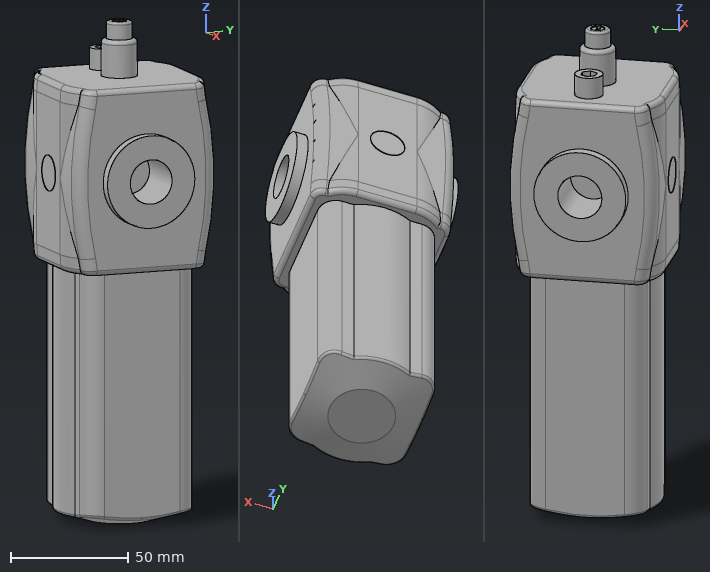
import cadquery as cq
import math


TOTAL_HEIGHT = 215.5
HEAD_BOTTOM = 111.4
HEAD_TOP = 191.7
HEAD_HEIGHT = HEAD_TOP - HEAD_BOTTOM
HEAD_MIDDLE = (HEAD_TOP + HEAD_BOTTOM) / 2

HEAD_LENGTH = 63.1
HEAD_WIDTH = 65.0
FRONT_FLAT_HALF = 13.4
CORNER_ROUND = 5.4
CORE_HALF_LENGTH = HEAD_LENGTH / 2 - CORNER_ROUND
CORE_CORNER_DROP = 4.5
END_BAND = 7.1
END_BAND_TAPER = 4.0
CORNER_BAND_DROP = 3.7
CORNER_END_DROP = 4.7
HEAD_EDGE_ROUND = 2.4

PORT_DIAMETER = 40.0
PORT_SPAN = 73.0
PORT_BORE = 19.2
PORT_BORE_DEPTH = 25.8

MARK_DIAMETER = 15.5
MARK_DEPTH = 0.2

STUD_X = -18.0
STUD_DIAMETER = 12.0
STUD_TOP = 201.0
STUD_HEX_FLATS = 6.2
STUD_HEX_DEPTH = 5.4

CONNECTOR_DIAMETER = 15.5
CONNECTOR_SHOULDER = 207.9
SHOULDER_ROUND = 2.0
TIP_DIAMETER = 11.2
TIP_ROUND = 1.0
SCREW_DIAMETER = 6.0
SCREW_RECESS = 0.5
SLOT_WIDTH = 1.3
SLOT_DEPTH = 1.0

BOWL_LENGTH = 52.5
BOWL_WIDTH = 56.7
BOWL_SIDE_FLAT_HALF = 17.2
BOWL_CORNER_RADIUS = 8.2
BOWL_BULGE_HALF = 12.7
BOWL_FOOT_DIAMETER = 28.9
BOWL_FOOT_SLOPE = 0.3
BOWL_RIM_ROUND = 1.3


def tangent_arc_middle(flat_end, corner):
    """Point at half the run of the arc that leaves the flat tangentially and ends at the corner."""
    run = corner[0] - flat_end[0]
    drop = flat_end[1] - corner[1]
    radius = (run**2 + drop**2) / (2 * drop)
    half_run = run / 2
    return (flat_end[0] + half_run, flat_end[1] - radius + math.sqrt(radius**2 - half_run**2))


def core_outline(z):
    """Closed outline with flat sides, and bowed quarters beside the front and back flats."""
    y_flat = HEAD_WIDTH / 2
    flat_end = (FRONT_FLAT_HALF, y_flat)
    corner = (CORE_HALF_LENGTH, y_flat - CORE_CORNER_DROP)
    mid = tangent_arc_middle(flat_end, corner)
    return (
        cq.Workplane("XY", origin=(0, 0, z))
        .moveTo(-flat_end[0], flat_end[1])
        .lineTo(*flat_end)
        .threePointArc(mid, corner)
        .lineTo(corner[0], -corner[1])
        .threePointArc((mid[0], -mid[1]), (flat_end[0], -flat_end[1]))
        .lineTo(-flat_end[0], -flat_end[1])
        .threePointArc((-mid[0], -mid[1]), (-corner[0], -corner[1]))
        .lineTo(-corner[0], corner[1])
        .threePointArc((-mid[0], mid[1]), (-flat_end[0], flat_end[1]))
        .close()
    )


def head_core():
    band_top = HEAD_TOP - END_BAND
    band_bottom = HEAD_BOTTOM + END_BAND
    middle = core_outline(band_bottom).extrude(band_top - band_bottom)
    upper = core_outline(band_top).extrude(END_BAND, taper=END_BAND_TAPER)
    lower = upper.mirror("XY", (0, 0, HEAD_MIDDLE))
    return middle.union(upper).union(lower)


def head_corners():
    """Full-length block whose front and back bow outwards over the height."""
    y_mid = HEAD_WIDTH / 2
    y_band = y_mid - CORNER_BAND_DROP
    y_end = y_mid - CORNER_END_DROP
    z_band = HEAD_HEIGHT / 2 - END_BAND
    z_end = HEAD_HEIGHT / 2
    block = (
        cq.Workplane("YZ", origin=(-HEAD_LENGTH / 2, 0, HEAD_MIDDLE))
        .moveTo(-y_end, z_end)
        .lineTo(y_end, z_end)
        .lineTo(y_band, z_band)
        .threePointArc((y_mid, 0), (y_band, -z_band))
        .lineTo(y_end, -z_end)
        .lineTo(-y_end, -z_end)
        .lineTo(-y_band, -z_band)
        .threePointArc((-y_mid, 0), (-y_band, z_band))
        .close()
        .extrude(HEAD_LENGTH)
    )
    bowed_edges = block.faces("<X or >X").edges("not(<Z or >Z)")
    return bowed_edges.fillet(CORNER_ROUND)


def head_block():
    block = head_core().union(head_corners())
    return block.faces("<Z or >Z").edges().fillet(HEAD_EDGE_ROUND)


def stud():
    height = STUD_TOP - HEAD_TOP
    hex_corners = STUD_HEX_FLATS / math.cos(math.pi / 6)
    return (
        cq.Workplane("XY", origin=(STUD_X, 0, HEAD_TOP))
        .circle(STUD_DIAMETER / 2)
        .extrude(height)
        .faces(">Z")
        .workplane()
        .polygon(6, hex_corners)
        .cutBlind(-STUD_HEX_DEPTH)
    )


def connector():
    barrel = (
        cq.Workplane("XY", origin=(0, 0, HEAD_TOP))
        .circle(CONNECTOR_DIAMETER / 2)
        .extrude(CONNECTOR_SHOULDER - HEAD_TOP)
        .faces(">Z")
        .edges()
        .fillet(SHOULDER_ROUND)
    )
    tip = (
        cq.Workplane("XY", origin=(0, 0, CONNECTOR_SHOULDER))
        .circle(TIP_DIAMETER / 2)
        .extrude(TOTAL_HEIGHT - CONNECTOR_SHOULDER)
        .faces(">Z")
        .edges()
        .fillet(TIP_ROUND)
        .faces(">Z")
        .workplane()
        .circle(SCREW_DIAMETER / 2)
        .cutBlind(-SCREW_RECESS)
    )
    slot_floor = TOTAL_HEIGHT - SCREW_RECESS - SLOT_DEPTH
    slot_plane = cq.Workplane("XY", origin=(0, 0, slot_floor))
    screw = slot_plane.circle(SCREW_DIAMETER / 2).extrude(SLOT_DEPTH)
    slot = slot_plane.rect(SCREW_DIAMETER, SLOT_WIDTH).extrude(SLOT_DEPTH).intersect(screw)
    return barrel.union(tip.cut(slot))


def port_bore(x_open, direction):
    return cq.Workplane(
        cq.Solid.makeCylinder(
            PORT_BORE / 2,
            PORT_BORE_DEPTH,
            cq.Vector(x_open, 0, HEAD_MIDDLE),
            cq.Vector(direction, 0, 0),
        )
    )


def front_mark(side):
    return cq.Workplane(
        cq.Solid.makeCylinder(
            MARK_DIAMETER / 2,
            MARK_DEPTH,
            cq.Vector(0, side * HEAD_WIDTH / 2, HEAD_MIDDLE),
            cq.Vector(0, -side, 0),
        )
    )


def make_head():
    ports = (
        cq.Workplane("YZ", origin=(-PORT_SPAN / 2, 0, HEAD_MIDDLE))
        .circle(PORT_DIAMETER / 2)
        .extrude(PORT_SPAN)
    )
    body = head_block().union(ports).union(stud()).union(connector())
    for side in (-1, 1):
        body = body.cut(port_bore(side * PORT_SPAN / 2, -side))
        body = body.cut(front_mark(side))
    return body


def bowl_prism():
    """Rounded rectangle with a raised, bowed panel on its front and back."""
    block_half_width = BOWL_SIDE_FLAT_HALF + BOWL_CORNER_RADIUS
    block = (
        cq.Workplane("XY")
        .rect(BOWL_LENGTH, 2 * block_half_width)
        .extrude(HEAD_BOTTOM)
        .edges("|Z")
        .fillet(BOWL_CORNER_RADIUS)
    )
    panels = (
        cq.Workplane("XY")
        .moveTo(-BOWL_BULGE_HALF, -block_half_width)
        .threePointArc((0, -BOWL_WIDTH / 2), (BOWL_BULGE_HALF, -block_half_width))
        .lineTo(BOWL_BULGE_HALF, block_half_width)
        .threePointArc((0, BOWL_WIDTH / 2), (-BOWL_BULGE_HALF, block_half_width))
        .close()
        .extrude(HEAD_BOTTOM)
    )
    return block.union(panels)


def bowl_envelope():
    """Cone that narrows the lower end of the bowl down to its round foot."""
    foot_radius = BOWL_FOOT_DIAMETER / 2
    outer_radius = BOWL_WIDTH
    cone_height = (outer_radius - foot_radius) * BOWL_FOOT_SLOPE
    return (
        cq.Workplane("XZ")
        .lineTo(foot_radius, 0)
        .lineTo(outer_radius, cone_height)
        .lineTo(outer_radius, HEAD_BOTTOM)
        .lineTo(0, HEAD_BOTTOM)
        .close()
        .revolve(360, (0, 0, 0), (0, 1, 0))
    )


def make_bowl():
    blank = bowl_prism().intersect(bowl_envelope())
    return blank.faces("%CONE").edges("not(<Z)").fillet(BOWL_RIM_ROUND)


head = make_head()
bowl = make_bowl()

result = cq.Compound.makeCompound([head.val(), bowl.val()])